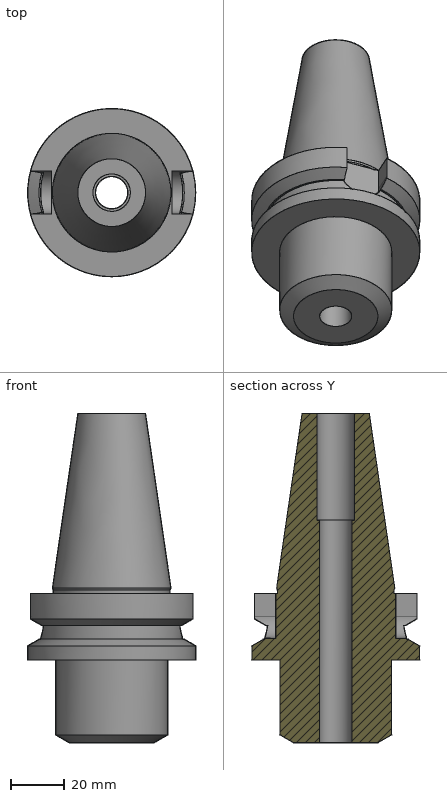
import cadquery as cq
import math

taper_length = 65.4
gauge_radius = 44.45 / 2
taper_ratio = 7 / 24
small_end_radius = gauge_radius - taper_length * taper_ratio / 2

neck_depth = 0.3
neck_bevel_height = 0.7
neck_radius = gauge_radius - neck_depth

flange_radius = 63 / 2
flange_top = -2.0
flange_bottom = -27.0
groove_radius = 53.2 / 2
groove_ledge = 0.6
groove_center = -16.6
groove_floor_width = 5.1
groove_wall_angle = math.radians(30)
ledge_radius = groove_radius + groove_ledge
groove_wall_height = (flange_radius - ledge_radius) * math.tan(groove_wall_angle)
groove_floor_top = groove_center + groove_floor_width / 2
groove_floor_bottom = groove_center - groove_floor_width / 2
groove_mouth_top = groove_floor_top + groove_wall_height
groove_mouth_bottom = groove_floor_bottom - groove_wall_height

nose_radius = 42 / 2
nose_bottom = -58.0
nose_chamfer_height = 3.0
nose_chamfer_angle = math.radians(60)
nose_end_radius = nose_radius - nose_chamfer_height * math.tan(nose_chamfer_angle)

bore_radius = 14 / 2
bore_depth = 40.0
through_radius = 12 / 2

slot_width = 16.1
slot_floor_x = 22.5
slot_depth = 16.8
slot_center_z = flange_top - slot_depth + slot_width / 2


def make_body():
    """Revolve the outer profile of shank, flange and nose about Z."""
    profile = [
        (0, taper_length),
        (small_end_radius, taper_length),
        (gauge_radius, 0),
        (neck_radius, -neck_bevel_height),
        (neck_radius, flange_top),
        (flange_radius, flange_top),
        (flange_radius, groove_mouth_top),
        (ledge_radius, groove_floor_top),
        (groove_radius, groove_floor_top),
        (groove_radius, groove_floor_bottom),
        (ledge_radius, groove_floor_bottom),
        (flange_radius, groove_mouth_bottom),
        (flange_radius, flange_bottom),
        (nose_radius, flange_bottom),
        (nose_radius, nose_bottom + nose_chamfer_height),
        (nose_end_radius, nose_bottom),
        (0, nose_bottom),
    ]
    return cq.Workplane("XZ").polyline(profile).close().revolve(360, (0, 0, 0), (0, 1, 0))


def make_bore():
    """Through hole with a wider bore at the small end of the taper."""
    through = cq.Workplane("XY").workplane(offset=nose_bottom)
    through = through.circle(through_radius).extrude(taper_length - nose_bottom)
    bore = cq.Workplane("XY").workplane(offset=taper_length)
    bore = bore.circle(bore_radius).extrude(-bore_depth)
    return through.union(bore)


def make_drive_slot(side):
    """Round-ended slot cut into the flange; side is +1 or -1 along X."""
    half_width = slot_width / 2
    return (
        cq.Workplane("YZ", origin=(side * slot_floor_x, 0, 0))
        .moveTo(-half_width, flange_top)
        .lineTo(-half_width, slot_center_z)
        .threePointArc((0, slot_center_z - half_width), (half_width, slot_center_z))
        .lineTo(half_width, flange_top)
        .close()
        .extrude(side * (flange_radius - slot_floor_x))
    )


result = make_body().cut(make_bore())
for side in (-1, 1):
    result = result.cut(make_drive_slot(side))